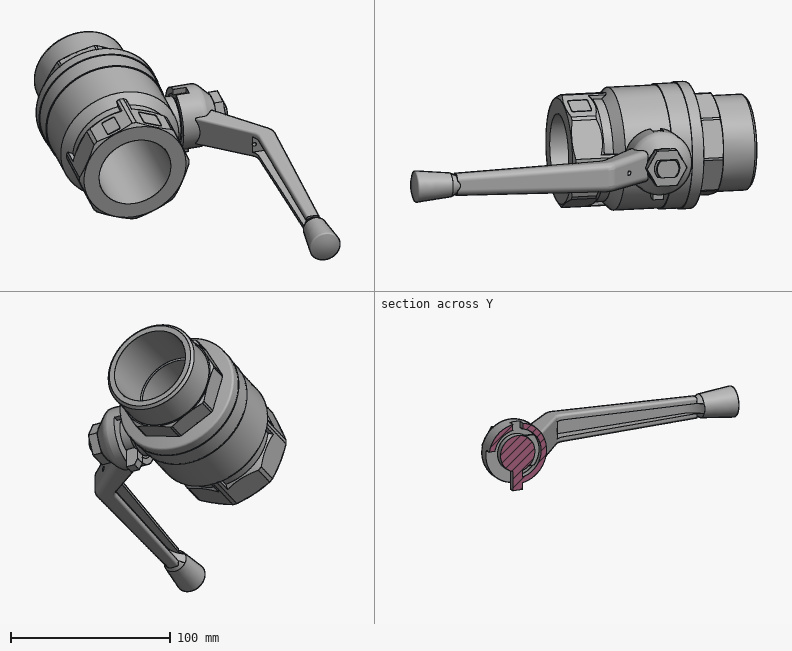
import cadquery as cq
import math


MALE_RADIUS = 30.2
MALE_CHAMFER = 1.7
NUT_START = 22.2
FLANGE_START = 35.6
FLANGE_RIM_START = 37.2
FLANGE_END = 44.7
FLANGE_RADIUS = 40.0
FLANGE_ROUND = 1.4
SHOULDER_END = 57.5
SHOULDER_RADIUS = 39.4
BARREL_END = 87.7
BARREL_RADIUS = 38.7
NECK_START = 94.1
NECK_RADIUS = 32.9
SOCKET_START = 100.0
BODY_END = 120.8

SIDES = 8
HALF_SIDE_ANGLE = 180 / SIDES
NUT_APOTHEM = 30.95
NUT_CORNER_CUT = 33.2
NUT_TURN = -5.7
NUT_CHAMFER = 2.1
SOCKET_APOTHEM = 33.7
SOCKET_CORNER_CUT = 35.9
SOCKET_CORNER_RADIUS = 36.2
SOCKET_CONE_LENGTH = 3.7
SOCKET_FACE_RADIUS = 33.4
SOCKET_FACE_CHAMFER = 1.7
RIB_START = 90.0
RIB_END = SOCKET_START + SOCKET_CONE_LENGTH
RIB_WIDTH = 6.4

LABEL_DEPTH = 0.3
LABEL_ROUND = 1.2
LABEL_X = 104.3
PLUS_Y_LABEL = (13.0, 12.6)
MINUS_Y_LABEL = (13.7, 8.9)

ENTRY_RADIUS = 24.9
ENTRY_DEPTH = 36.0
BORE_RADIUS = 23.5

STEM_X = 69.3
BOSS_RADIUS = 14.4
BOSS_TOP = 41.2
COLLAR_RADIUS = 12.0
COLLAR_START = 43.8
HUB_RADIUS = 20.0
HUB_BOTTOM = 41.4
HUB_CONE_START = 57.2
HUB_TOP = 65.5
HUB_ROUND = 5.0
SKIRT_TOP = 49.8
SKIRT_INNER_RADIUS = 16.0
SLOT_WIDTH = 6.7
WINDOW_EDGE_Z = 3.4
STEM_NUT_FLATS = 22.4
STEM_NUT_SIDES = 6
STEM_NUT_TOP = 71.4
STEM_RADIUS = 7.1
STEM_FLATS = 10.8
STEM_TOP = 74.0
STEM_FOOT_RADIUS = 8.2
STEM_FOOT_HEIGHT = 1.2

TAB_TOP = 49.5
TAB_REACH = 24.1
TAB_STEP_REACH = 20.0
TAB_ROOT_BOTTOM = 41.6
TAB_TIP_BOTTOM = 43.8

LEVER_TOP = 94.4
LEVER_END = 211.0
ROOT_X = 76.0
ROOT_TOP_Y = 61.0
ROOT_BOTTOM_Y = 48.5
ROOT_BOTTOM_X = 86.4
KNEE_TOP_X = 110.2
KNEE_BOTTOM = (114.0, 82.0)
BAR_END_BOTTOM_Y = 85.3
KNEE_ROUND = 8.0
TAPER_START_HALF_WIDTH = 10.1
TAPER_END_HALF_WIDTH = 6.8
CROWN_ROUND = 4.2
RIM_ROUND = 1.6
CHANNEL_START = 112.0
CHANNEL_END = 202.5
CHANNEL_FLOOR_Y = 89.5
CHANNEL_RUNOUT_RADIUS = 14.0
CHANNEL_WALL = 3.5
HOLE_Y = 80.8
HOLE_DIAMETER = 2.6

KNOB_Y = 89.57
KNOB_START = 208.5
KNOB_NECK_RADIUS = 4.5
KNOB_WAIST_X = 214.6
KNOB_WAIST_RADIUS = 7.6
KNOB_RIM_X = 237.3
KNOB_RADIUS = 10.0
KNOB_END = 239.5
KNOB_RIM_ROUND = 1.0


def turned(points):
    """Solid of revolution about the flow axis from (x, radius) points."""
    outline = [(points[0][0], 0)] + points + [(points[-1][0], 0)]
    profile = cq.Workplane("XY").polyline(outline).close()
    return profile.revolve(360, (0, 0, 0), (1, 0, 0))


def stem_turned(points):
    """Solid of revolution about the stem axis from (radius, height) points."""
    outline = [(0, points[0][1])] + points + [(0, points[-1][1])]
    profile = cq.Workplane("XY").polyline(outline).close()
    return profile.revolve(360, (0, 0, 0), (0, 1, 0)).translate((STEM_X, 0, 0))


def block(x_range, y_range, z_range):
    """Box given by its limits along the three axes."""
    low, high = zip(x_range, y_range, z_range)
    size = [b - a for a, b in zip(low, high)]
    return cq.Workplane("XY").box(*size, centered=False).translate(low)


def across_corners(apothem, sides):
    """Corner-to-corner diameter of a regular polygon."""
    return 2 * apothem / math.cos(math.pi / sides)


def octagon_bar(start, end, apothem, corner_cut, turn):
    """Octagonal bar along X with blunted corners; at turn 0 its corners lie on the Y and Z axes."""
    base = cq.Workplane("YZ", origin=(start, 0, 0))
    bar = base.polygon(SIDES, across_corners(apothem, SIDES)).extrude(end - start)
    blunting = base.polygon(SIDES, across_corners(corner_cut, SIDES)).extrude(end - start)
    blunting = blunting.rotate((0, 0, 0), (1, 0, 0), HALF_SIDE_ANGLE)
    return bar.intersect(blunting).rotate((0, 0, 0), (1, 0, 0), turn)


def make_barrel():
    outline = [
        (0, MALE_RADIUS - MALE_CHAMFER),
        (MALE_CHAMFER, MALE_RADIUS),
        (FLANGE_START, MALE_RADIUS),
        (FLANGE_RIM_START, FLANGE_RADIUS),
        (FLANGE_END, FLANGE_RADIUS),
        (FLANGE_END, SHOULDER_RADIUS),
        (SHOULDER_END, SHOULDER_RADIUS),
        (SHOULDER_END, BARREL_RADIUS),
        (BARREL_END, BARREL_RADIUS),
        (NECK_START, NECK_RADIUS),
        (BODY_END, NECK_RADIUS),
    ]
    front_rim = cq.selectors.RadiusNthSelector(-1)
    return turned(outline).edges(front_rim).edges("<X").fillet(FLANGE_ROUND)


def make_male_nut():
    bar = octagon_bar(NUT_START, FLANGE_START, NUT_APOTHEM, NUT_CORNER_CUT, NUT_TURN)
    envelope = turned([
        (NUT_START, NUT_CORNER_CUT - NUT_CHAMFER),
        (NUT_START + NUT_CHAMFER, NUT_CORNER_CUT + NUT_CHAMFER),
        (FLANGE_START, NUT_CORNER_CUT + NUT_CHAMFER),
    ])
    return bar.intersect(envelope)


def cut_label(socket, size, angle):
    """Sink a rounded rectangle into the flat whose normal is turned by angle from +Z about X."""
    length, width = size
    centre_x = LABEL_X + length / 2
    pad = cq.Workplane("XY").box(length, width, 2 * LABEL_DEPTH).edges("|Z").fillet(LABEL_ROUND)
    pad = pad.translate((centre_x, 0, SOCKET_APOTHEM))
    return socket.cut(pad.rotate((0, 0, 0), (1, 0, 0), angle))


def make_socket():
    bar = octagon_bar(SOCKET_START, BODY_END, SOCKET_APOTHEM, SOCKET_CORNER_CUT, 0)
    envelope = turned([
        (SOCKET_START, NECK_RADIUS),
        (SOCKET_START + SOCKET_CONE_LENGTH, SOCKET_CORNER_RADIUS),
        (BODY_END - SOCKET_FACE_CHAMFER, SOCKET_CORNER_RADIUS),
        (BODY_END, SOCKET_FACE_RADIUS),
    ])
    socket = bar.intersect(envelope)
    socket = cut_label(socket, PLUS_Y_LABEL, -HALF_SIDE_ANGLE)
    return cut_label(socket, MINUS_Y_LABEL, HALF_SIDE_ANGLE)


def make_ribs():
    """Four ribs carrying the socket corners on +-Y and +-Z back onto the barrel cone."""
    bar = octagon_bar(RIB_START, RIB_END, SOCKET_APOTHEM, SOCKET_CORNER_CUT, 0)
    reach = FLANGE_RADIUS
    half = RIB_WIDTH / 2
    upright = block((RIB_START, RIB_END), (-half, half), (-reach, reach))
    level = block((RIB_START, RIB_END), (-reach, reach), (-half, half))
    return bar.intersect(upright.union(level))


def make_stem():
    return stem_turned([
        (BOSS_RADIUS, 0),
        (BOSS_RADIUS, BOSS_TOP),
        (COLLAR_RADIUS, COLLAR_START),
        (COLLAR_RADIUS, SKIRT_TOP),
    ])


def make_hub():
    """Cap on the stem with a 45 degree cone above and a hollow, notched skirt below."""
    hub = stem_turned([
        (HUB_RADIUS, HUB_BOTTOM),
        (HUB_RADIUS, HUB_CONE_START),
        (HUB_RADIUS - (HUB_TOP - HUB_CONE_START), HUB_TOP),
    ])
    cone_foot = cq.selectors.NearestToPointSelector((STEM_X, HUB_CONE_START, 0))
    hub = hub.edges("%CIRCLE").edges(cone_foot).fillet(HUB_ROUND)

    hub = hub.cut(stem_turned([(SKIRT_INNER_RADIUS, HUB_BOTTOM), (SKIRT_INNER_RADIUS, SKIRT_TOP)]))
    skirt_height = (HUB_BOTTOM, SKIRT_TOP)
    slot_edge = STEM_X + SLOT_WIDTH / 2
    slot = block((slot_edge - SLOT_WIDTH, slot_edge), skirt_height, (0, HUB_RADIUS))
    window = block((STEM_X - HUB_RADIUS, slot_edge), skirt_height, (-HUB_RADIUS, WINDOW_EDGE_Z))
    return hub.cut(slot).cut(window)


def make_stop_tab():
    outline = [
        (TAB_TOP, 0),
        (TAB_TOP, -TAB_REACH),
        (TAB_TIP_BOTTOM, -TAB_REACH),
        (TAB_ROOT_BOTTOM, -TAB_STEP_REACH),
        (TAB_ROOT_BOTTOM, 0),
    ]
    base = cq.Workplane("YZ", origin=(STEM_X - SLOT_WIDTH / 2, 0, 0))
    return base.polyline(outline).close().extrude(SLOT_WIDTH)


def make_stem_nut():
    """Hexagon nut and, above it, the flattened end of the stem on its conical foot."""
    base = cq.Workplane("XZ", origin=(STEM_X, HUB_TOP, 0))
    nut = base.polygon(STEM_NUT_SIDES, across_corners(STEM_NUT_FLATS / 2, STEM_NUT_SIDES))
    nut = nut.extrude(HUB_TOP - STEM_NUT_TOP)
    end = stem_turned([
        (STEM_FOOT_RADIUS, STEM_NUT_TOP),
        (STEM_RADIUS, STEM_NUT_TOP + STEM_FOOT_HEIGHT),
        (STEM_RADIUS, STEM_TOP),
    ])
    flats = block(
        (STEM_X - STEM_FOOT_RADIUS, STEM_X + STEM_FOOT_RADIUS),
        (STEM_NUT_TOP, STEM_TOP),
        (-STEM_FLATS / 2, STEM_FLATS / 2),
    )
    return nut.union(end.intersect(flats))


def taper_plan(inset, start, end):
    """Slab in plan that follows the lever taper between two X stations, inset from the lever sides."""
    slope = (TAPER_END_HALF_WIDTH - TAPER_START_HALF_WIDTH) / (LEVER_END - ROOT_X)
    start_half = TAPER_START_HALF_WIDTH + slope * (start - ROOT_X) - inset
    end_half = TAPER_START_HALF_WIDTH + slope * (end - ROOT_X) - inset
    corners = [(start, -start_half), (end, -end_half), (end, end_half), (start, start_half)]
    return cq.Workplane("XZ").polyline(corners).close().extrude(-LEVER_TOP)


def make_lever():
    outline = [
        (ROOT_X, ROOT_BOTTOM_Y),
        (ROOT_BOTTOM_X, ROOT_BOTTOM_Y),
        KNEE_BOTTOM,
        (LEVER_END, BAR_END_BOTTOM_Y),
        (LEVER_END, LEVER_TOP),
        (KNEE_TOP_X, LEVER_TOP),
        (ROOT_X, ROOT_TOP_Y),
    ]
    side = cq.Workplane("XY").polyline(outline).close()
    side = side.extrude(TAPER_START_HALF_WIDTH, both=True)
    for knee in ((KNEE_TOP_X, LEVER_TOP, 0), (*KNEE_BOTTOM, 0)):
        side = side.edges("|Z").edges(cq.selectors.NearestToPointSelector(knee)).fillet(KNEE_ROUND)
    lever = side.intersect(taper_plan(0, ROOT_X, LEVER_END))

    crown_face = cq.selectors.NearestToPointSelector(((KNEE_TOP_X + LEVER_END) / 2, LEVER_TOP, 0))
    lever = lever.faces(crown_face).edges("not |Z").fillet(CROWN_ROUND)
    rim_point = ((KNEE_BOTTOM[0] + LEVER_END) / 2, (KNEE_BOTTOM[1] + BAR_END_BOTTOM_Y) / 2, 0)
    rim_face = cq.selectors.NearestToPointSelector(rim_point)
    lever = lever.faces(rim_face).edges("not |Z").fillet(RIM_ROUND)
    return lever


def make_channel():
    """Groove along the underside of the bar, running out on an arc toward the knob."""
    runout_x = CHANNEL_END + CHANNEL_RUNOUT_RADIUS
    runout_y = CHANNEL_FLOOR_Y - CHANNEL_RUNOUT_RADIUS
    diagonal = CHANNEL_RUNOUT_RADIUS * math.sqrt(0.5)
    side = (
        cq.Workplane("XY")
        .moveTo(CHANNEL_START, runout_y)
        .lineTo(CHANNEL_START, CHANNEL_FLOOR_Y)
        .lineTo(CHANNEL_END, CHANNEL_FLOOR_Y)
        .threePointArc((CHANNEL_END + diagonal, runout_y + diagonal), (runout_x, runout_y))
        .close()
        .extrude(TAPER_START_HALF_WIDTH, both=True)
    )
    return side.intersect(taper_plan(CHANNEL_WALL, CHANNEL_START, runout_x))


def make_lever_hole():
    base = cq.Workplane("YZ", origin=(ROOT_X, HOLE_Y, 0))
    return base.circle(HOLE_DIAMETER / 2).extrude(LEVER_END - ROOT_X)


def make_knob():
    """Flared grip closed by a shallow spherical dome."""
    dome_height = KNOB_END - KNOB_RIM_X
    dome_radius = (KNOB_RADIUS**2 + dome_height**2) / (2 * dome_height)
    half_radius = KNOB_RADIUS / 2
    half_x = KNOB_END - dome_radius + math.sqrt(dome_radius**2 - half_radius**2)
    profile = (
        cq.Workplane("XY")
        .moveTo(KNOB_START, 0)
        .lineTo(KNOB_START, KNOB_NECK_RADIUS)
        .lineTo(KNOB_WAIST_X, KNOB_WAIST_RADIUS)
        .lineTo(KNOB_RIM_X, KNOB_RADIUS)
        .threePointArc((half_x, half_radius), (KNOB_END, 0))
        .close()
    )
    knob = profile.revolve(360, (0, 0, 0), (1, 0, 0))
    rim = cq.selectors.NearestToPointSelector((KNOB_RIM_X, 0, 0))
    return knob.edges("%CIRCLE").edges(rim).fillet(KNOB_RIM_ROUND).translate((0, KNOB_Y, 0))


def make_bore():
    through = turned([(0, BORE_RADIUS), (BODY_END, BORE_RADIUS)])
    return through.union(turned([(0, ENTRY_RADIUS), (ENTRY_DEPTH, ENTRY_RADIUS)]))


body = make_barrel().union(make_male_nut()).union(make_socket()).union(make_ribs())
body = body.union(make_stem()).cut(make_bore())
lever = make_lever().union(make_knob()).cut(make_channel()).cut(make_lever_hole())
operator = make_hub().union(lever).union(make_stem_nut())
result = body.union(operator).union(make_stop_tab())